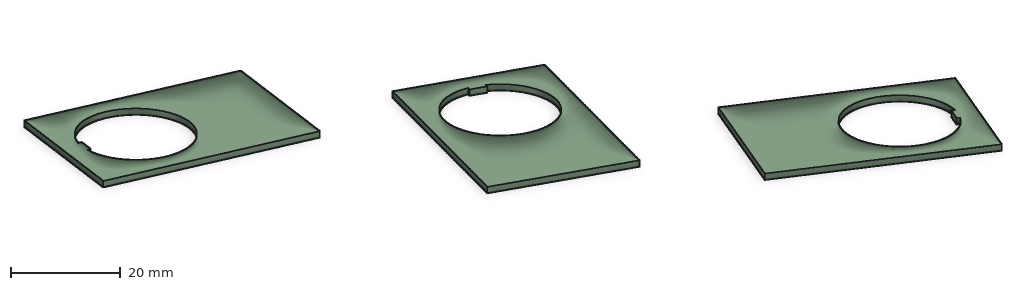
import cadquery as cq

plate_width = 30.0
plate_length = 45.0
plate_thickness = 1.3

opening_diameter = 22.28
opening_from_edge = 15.0

key_width = 3.5
key_top_from_center = 10.3

opening_radius = opening_diameter / 2
opening_y = opening_from_edge - plate_length / 2


def make_plate():
    return cq.Workplane("XY").box(
        plate_width, plate_length, plate_thickness, centered=(True, True, False)
    )


def make_opening():
    """Round cutter with a flat-topped notch that leaves the key standing."""
    disc = (
        cq.Workplane("XY")
        .center(0, opening_y)
        .circle(opening_radius)
        .extrude(plate_thickness)
    )
    key_height = opening_radius - key_top_from_center
    key = (
        cq.Workplane("XY")
        .center(0, opening_y - key_top_from_center - key_height / 2)
        .rect(key_width, key_height)
        .extrude(plate_thickness)
    )
    return disc.cut(key)


result = make_plate().cut(make_opening())